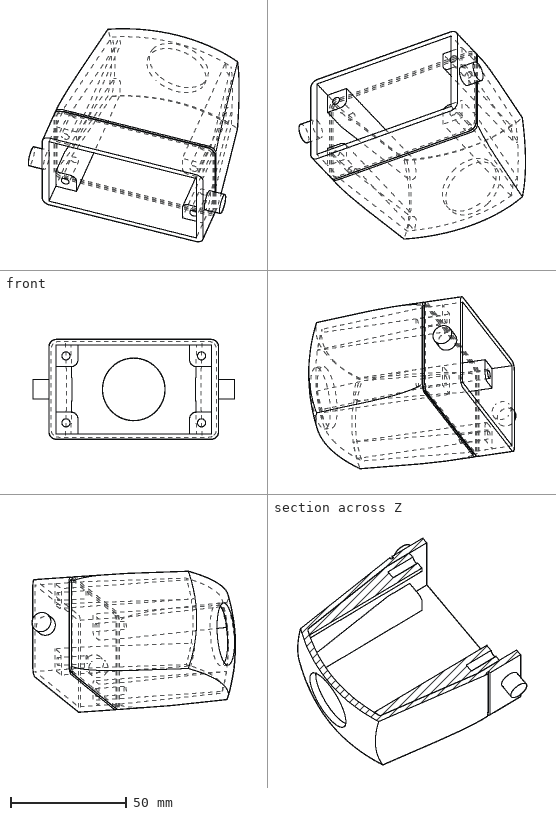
import cadquery as cq
import math

WIDTH = 73.7
HEIGHT = 43.5
LENGTH = 76.5
CORNER_RADIUS = 3.4
SIDE_TAPER = math.tan(math.radians(8.0))

GROOVE_START = 16.4
GROOVE_END = 17.5
GROOVE_DEPTH = 1.0

DOME_RADIUS = 76.6
OPENING_DIAMETER = 27.0
DOME_CENTER_Y = LENGTH - math.sqrt(DOME_RADIUS**2 - (OPENING_DIAMETER / 2) ** 2)

SIDE_WALL = 3.15
FLAT_WALL = 2.45
BACK_WALL = 3.1
CAVITY_WIDTH = WIDTH - 2 * SIDE_WALL
CAVITY_HEIGHT = HEIGHT - 2 * FLAT_WALL
CAVITY_TAPER_START = 21.0

PEG_DIAMETER = 8.6
PEG_SPAN = 87.5
PEG_Y = 5.95

POST_SIZE = 9.45
POST_CORNER_RADIUS = 3.0
POST_RECESS = 9.2
SCREW_HOLE_DIAMETER = 3.5
SCREW_HOLE_DEPTH = 13.1
SCREW_HOLE_X = 29.4
SCREW_HOLE_Z = 14.5


def block(width, height, start, end):
    """Box centred on X and Z, running from start to end along Y."""
    return cq.Workplane("XY").box(width, end - start, height).translate((0, (start + end) / 2, 0))


def tapered_plan(width, height, taper_start):
    """Prism with straight sides up to taper_start, then narrowing toward +Y."""
    mouth_half = width / 2
    back_half = mouth_half - SIDE_TAPER * (LENGTH - taper_start)
    outline = [
        (-mouth_half, 0),
        (mouth_half, 0),
        (mouth_half, taper_start),
        (back_half, LENGTH),
        (-back_half, LENGTH),
        (-mouth_half, taper_start),
    ]
    return cq.Workplane("XY").polyline(outline).close().extrude(height / 2, both=True)


def dome_ball(radius):
    """Ball with its poles on the Y axis."""
    half_disc = cq.Workplane("XY").moveTo(0, -radius).threePointArc((radius, 0), (0, radius)).close()
    ball = half_disc.revolve(360, (0, 0), (0, 1))
    return ball.translate((0, DOME_CENTER_Y, 0))


def make_cavity():
    plan = tapered_plan(CAVITY_WIDTH, CAVITY_HEIGHT, CAVITY_TAPER_START)
    return plan.intersect(dome_ball(DOME_RADIUS - BACK_WALL))


def make_groove():
    outside = block(WIDTH, HEIGHT, GROOVE_START, GROOVE_END)
    neck_width = WIDTH - 2 * GROOVE_DEPTH
    neck_height = HEIGHT - 2 * GROOVE_DEPTH
    neck = block(neck_width, neck_height, GROOVE_START, GROOVE_END)
    return outside.cut(neck.edges("|Y").fillet(CORNER_RADIUS))


def make_pegs():
    """Two coaxial pegs that stop flush with the cavity side walls."""
    rod = (
        cq.Workplane("YZ")
        .center(PEG_Y, 0)
        .circle(PEG_DIAMETER / 2)
        .extrude(PEG_SPAN / 2, both=True)
    )
    return rod.cut(block(CAVITY_WIDTH, CAVITY_HEIGHT, 0, LENGTH))


def make_housing(cavity):
    """Hollow hood with a domed, open back and a peg on each side."""
    shell = block(WIDTH, HEIGHT, 0, LENGTH).edges("|Y").fillet(CORNER_RADIUS)
    shell = shell.intersect(tapered_plan(WIDTH, HEIGHT, GROOVE_END))
    shell = shell.intersect(dome_ball(DOME_RADIUS))
    opening = cq.Workplane("XZ").circle(OPENING_DIAMETER / 2).extrude(-LENGTH)
    return shell.cut(make_groove()).cut(cavity).cut(opening).union(make_pegs())


def make_post(cavity, side_x, side_z):
    """Corner post with a blind screw hole, ending on the cavity walls."""
    center_x = side_x * (CAVITY_WIDTH - POST_SIZE) / 2
    center_z = side_z * (CAVITY_HEIGHT - POST_SIZE) / 2
    inner_x = "<X" if side_x > 0 else ">X"
    inner_z = "<Z" if side_z > 0 else ">Z"
    post = block(POST_SIZE, POST_SIZE, POST_RECESS, LENGTH)
    post = post.edges("|Y").edges(inner_x).edges(inner_z).fillet(POST_CORNER_RADIUS)
    post = post.translate((center_x, 0, center_z)).intersect(cavity)
    hole = (
        cq.Workplane("XZ", origin=(side_x * SCREW_HOLE_X, POST_RECESS, side_z * SCREW_HOLE_Z))
        .circle(SCREW_HOLE_DIAMETER / 2)
        .extrude(-SCREW_HOLE_DEPTH)
    )
    return post.cut(hole)


cavity = make_cavity()
housing = make_housing(cavity)
posts = [make_post(cavity, side_x, side_z) for side_x in (-1, 1) for side_z in (-1, 1)]

result = cq.Compound.makeCompound([housing.val(), *[post.val() for post in posts]])